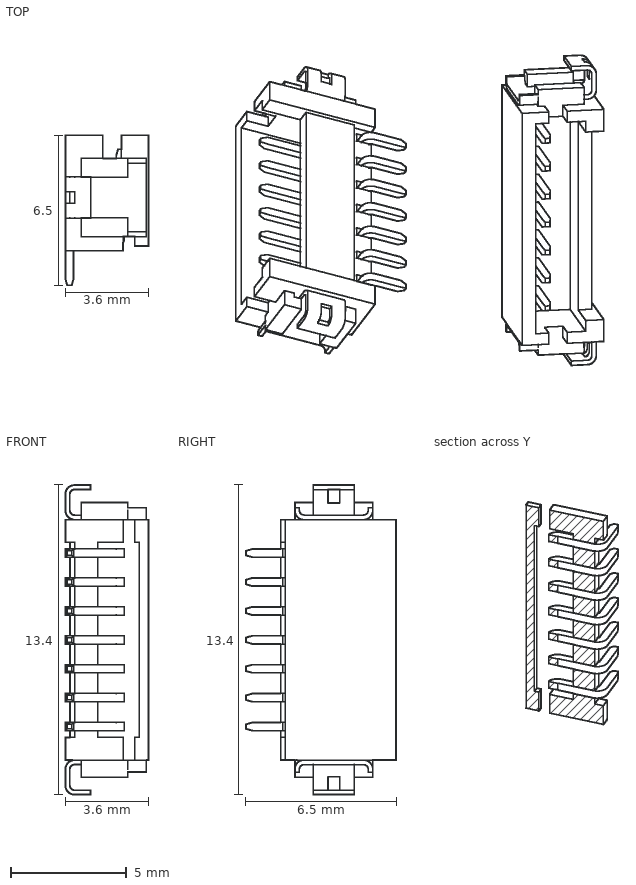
import cadquery as cq
import math


total_height = 13.4
clip_height = 1.5
body_half = total_height / 2 - clip_height
body_depth = 3.6
body_front = -2.3
body_back = 2.7
end_wall_inner = 4.22
wall = 0.6
standoff = 0.2
near_wall_front = -1.41
near_wall_back = 0.88
far_wall_front = -2.1
far_wall_inner = body_depth - wall
relief_inner = 3.2
cavity_floor = -1.0
cavity_half = 4.7
end_slot_start = 1.62
end_slot_end = 2.43
end_slot_floor = 1.69

rear_face = -1.61
comb_start = 0.4
comb_end = 1.41
end_wall_depth = 2.5

pin_count = 7
pin_row = 7.5
pin_pitch = pin_row / (pin_count - 1)
pin_size = 0.36
pin_inner_radius = 0.1
pin_outer_radius = pin_inner_radius + pin_size
pin_far = 2.56
foot_end = -3.8
contact_end = 2.09
tip_length = 0.28
tip_inset = 0.08

sheet = 0.2
sheet_outer_radius = 2 * sheet
clip_width = 1.78
clip_arm = 1.1
clip_end = 3.51
base_width = 2.44
base_start = 1.0
base_corner_radius = 0.2
wing_span = 3.38
wing_height = 0.52
window_width = 0.5
window_bottom = 0.72

ear_start = 0.68
ear_end = 2.71
ear_height = 0.75
ear_width = 0.8


def block(x_range, y_range, z_range):
    """Box spanning the given (low, high) ranges."""
    lows, highs = zip(x_range, y_range, z_range)
    sizes = [high - low for low, high in zip(lows, highs)]
    return cq.Workplane("XY").box(*sizes, centered=False).translate(lows)


def make_housing():
    full_z = (-body_half, body_half)
    middle_z = (-end_wall_inner, end_wall_inner)

    housing = block((0, body_depth), (rear_face, body_back), full_z)
    housing = housing.union(block((0, end_wall_depth), (body_front, rear_face), full_z))
    housing = housing.union(block((far_wall_inner, body_depth), (far_wall_front, rear_face), full_z))

    housing = housing.cut(block((0, standoff), (body_front, body_back), middle_z))
    housing = housing.cut(block((0, wall + standoff), (near_wall_back, body_back), middle_z))
    housing = housing.cut(block((0, comb_start), (body_front, near_wall_front), middle_z))
    housing = housing.cut(block((comb_end, relief_inner), (body_front, rear_face), middle_z))

    cavity_z = (-cavity_half, cavity_half)
    housing = housing.cut(block((standoff + wall, far_wall_inner), (cavity_floor, body_back), cavity_z))
    return housing.cut(block((end_slot_start, end_slot_end), (end_slot_floor, body_back), full_z))


def make_tip(x_center, y_start, direction):
    """Tapered pin end pointing along Y; direction is +1 or -1."""
    taper = math.degrees(math.atan2(tip_inset, tip_length))
    plane = cq.Plane(origin=(x_center, y_start, 0), xDir=(1, 0, 0), normal=(0, direction, 0))
    return cq.Workplane(plane).rect(pin_size, pin_size).extrude(tip_length, taper=taper)


def make_pin():
    """One pin at Z = 0: foot along -Y, run along +X, contact along +Y."""
    run_front = body_front + pin_inner_radius
    run_back = run_front + pin_size
    contact_near = pin_far - pin_size
    foot_tip_start = foot_end + tip_length
    contact_tip_start = contact_end - tip_length
    outer, inner = pin_outer_radius, pin_inner_radius

    pin = (
        cq.Workplane("XY", origin=(0, 0, -pin_size / 2))
        .moveTo(0, foot_tip_start)
        .lineTo(pin_size, foot_tip_start)
        .lineTo(pin_size, body_front)
        .radiusArc((pin_size + inner, run_front), inner)
        .lineTo(pin_far - outer, run_front)
        .radiusArc((pin_far, run_front + outer), -outer)
        .lineTo(pin_far, contact_tip_start)
        .lineTo(contact_near, contact_tip_start)
        .lineTo(contact_near, run_back + inner)
        .radiusArc((contact_near - inner, run_back), inner)
        .lineTo(outer, run_back)
        .radiusArc((0, body_front), -outer)
        .close()
        .extrude(pin_size)
    )
    pin = pin.union(make_tip(pin_size / 2, foot_tip_start, -1))
    return pin.union(make_tip(pin_far - pin_size / 2, contact_tip_start, 1))


def make_pin_slot():
    half = pin_size / 2
    return block((0, comb_end), (body_front, rear_face), (-half, half))


def make_hook():
    """C-shaped bent strip of the clip, standing on Z = 0."""
    outside = block((0, clip_end), (-clip_width / 2, clip_width / 2), (0, clip_height))
    outside = outside.edges("|Y and <X").fillet(sheet_outer_radius)
    inside = block((sheet, clip_end), (-clip_width / 2, clip_width / 2), (sheet, clip_height - sheet))
    inside = inside.edges("|Y and <X").fillet(sheet_outer_radius - sheet)
    half_window = window_width / 2

    hook = outside.cut(inside)
    hook = hook.cut(block((clip_arm, clip_end), (-clip_width, clip_width), (sheet, clip_height)))
    return hook.cut(
        block((0, sheet_outer_radius), (-half_window, half_window), (window_bottom, clip_height))
    )


def make_wings():
    """Far end of the clip base, with both sides bent up."""
    half = wing_span / 2
    trough_z = (0, 2 * wing_height)
    outside = block((ear_end, clip_end), (-half, half), trough_z)
    outside = outside.edges("|X and <Z").fillet(sheet_outer_radius)
    inside = block((ear_end, clip_end), (-half + sheet, half - sheet), (sheet, 2 * wing_height))
    inside = inside.edges("|X and <Z").fillet(sheet_outer_radius - sheet)
    return outside.cut(inside).intersect(block((ear_end, clip_end), (-half, half), (0, wing_height)))


def make_end_set():
    """Clip and its two ears, standing on Z = 0."""
    half = base_width / 2
    base = block((base_start, clip_end), (-half, half), (0, sheet))
    base = base.edges("|Z and <X").fillet(base_corner_radius)

    ear_outer = wing_span / 2
    ear = block((ear_start, ear_end), (ear_outer - ear_width, ear_outer), (0, ear_height))
    ears = ear.union(ear.mirror("XZ"))
    ears = ears.cut(block((ear_start, ear_end), (-half, half), (0, sheet)))
    return ears.union(base).union(make_hook()).union(make_wings())


result = make_housing()

pin = make_pin()
pin_slot = make_pin_slot()
for index in range(pin_count):
    offset = (0, 0, index * pin_pitch - pin_row / 2)
    result = result.cut(pin_slot.translate(offset)).union(pin.translate(offset))

top_set = make_end_set().translate((0, 0, body_half))
result = result.union(top_set).union(top_set.mirror("XY"))